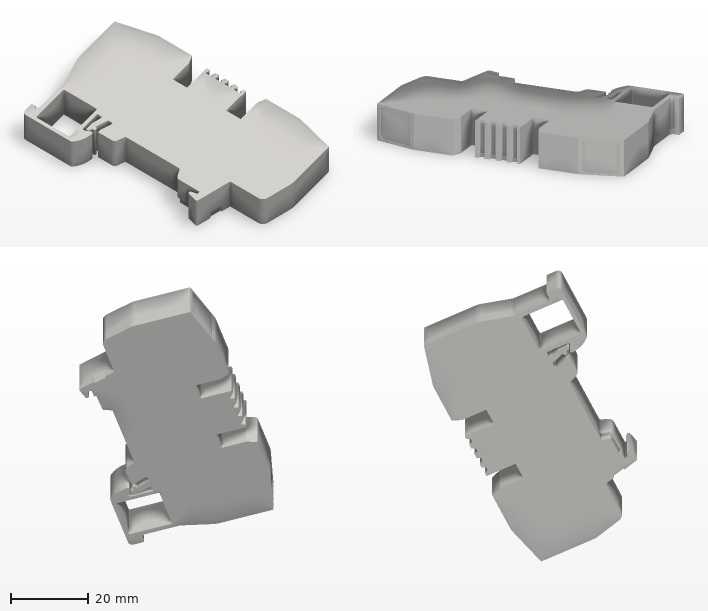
import cadquery as cq
import math

half_length = 35.0
height = 42.3
thickness = 10.0

shoulder_y = 39.3
top_outer_x = 23.25
top_inner_x = 12.05
well_x = 11.05
well_bevel_y = 39.7
well_floor_y = 32.8
side_bend_y = 23.6
side_bend_radius = 4.9

comb_half_width = 6.405
comb_top_y = 41.2
slot_count = 4
slot_pitch = 3.1
slot_mouth_width = 1.9
slot_throat_width = 1.2
slot_floor_y = 40.2
undercut_width = 2.0
undercut_depth = 0.5
undercut_web = 1.0

seat_y = 9.9
seat_half_width = 8.9
ramp_foot_x = 10.15
foot_y = 6.8
ramp_root_radius = 0.6
ramp_foot_radius = 1.3

leg_x = -32.6
leg_top_y = 14.6
clamp_top_y = 4.0
clamp_corner_radius = 1.05
clamp_tip_x = -16.45
window_left = -31.35
window_right = -20.45
window_bottom = 1.05
window_top = 12.9
window_radius = 0.35
leg_fillet_radius = 1.2
leg_fillet_height = 1.4
leg_fillet_overlap = 0.6

slit_top_y = 11.55
slit_left_x = -19.4
slit_floor_y = 5.0
slit_chamfer = 0.35
foot_left_x = -15.5
tongue_left_x = -18.55
tongue_root_x = -17.9
bump_x = -16.5

hook_wall_x = 17.65
hook_tip_x = 19.05
hook_bottom_y = 3.7
hook_tip_radius = 0.5
overhang_x = 21.85
overhang_y = 14.35
overhang_radius = 1.95

relief_height = 2.5
relief_depth = 0.7
relief_end_x = 15.6
relief_clearance = 0.35
notch_depth = 0.4
notch_start = 4.6
notch_length = 3.6

label_end_margin = 1.2
label_side_margin = 0.6
label_depth = 0.3
label_radius = 1.05

side_slope = (half_length + leg_x) / (side_bend_y - leg_top_y)
overhang_corner_x = half_length - side_slope * (side_bend_y - overhang_y)


def prism(points, depth):
    """Closed polygon in XY, extruded upward from Z = 0."""
    return cq.Workplane("XY").polyline(points).close().extrude(depth)


def round_corners(body, radius, points):
    """Round the upright edges standing at the given XY points."""
    for x, y in points:
        edge = cq.selectors.NearestToPointSelector((x, y, thickness / 2))
        body = body.edges("|Z").edges(edge).fillet(radius)
    return body


def housing():
    """Full-thickness outline: shoulders, comb block, hook, rail seat, tongue and leg."""
    upper_left = [
        (-half_length, side_bend_y),
        (-half_length, shoulder_y),
        (-top_outer_x, height),
        (-top_inner_x, height),
        (-well_x, well_bevel_y),
        (-well_x, well_floor_y),
        (-comb_half_width, well_floor_y),
        (-comb_half_width, comb_top_y),
    ]
    upper_right = [(-x, y) for x, y in reversed(upper_left)]
    right_hook = [
        (overhang_corner_x, overhang_y),
        (overhang_x, overhang_y),
        (hook_tip_x, hook_bottom_y),
        (15.7, 4.6),
        (15.6, 5.2),
        (15.9, 5.45),
        (hook_wall_x, 5.9),
        (hook_wall_x, foot_y),
    ]
    rail_seat = [
        (ramp_foot_x, foot_y),
        (seat_half_width, seat_y),
        (-seat_half_width, seat_y),
        (-ramp_foot_x, foot_y),
        (foot_left_x, foot_y),
    ]
    tongue = [
        (foot_left_x, 8.0),
        (-14.3, slit_top_y - slit_chamfer),
        (-14.5, slit_top_y),
        (-15.8, slit_top_y),
        (-17.15, 7.9),
        (bump_x, 7.55),
        (bump_x, foot_y),
        (-17.4, foot_y),
        (-17.65, 5.9),
        (-18.3, 5.6),
        (tongue_left_x, 5.95),
        (tongue_left_x, 8.6),
        (tongue_root_x, 10.5),
        (tongue_root_x, slit_top_y),
        (slit_left_x, slit_top_y),
        (slit_left_x, slit_floor_y + slit_chamfer),
        (slit_left_x + slit_chamfer, slit_floor_y),
    ]
    outline = upper_left + upper_right + right_hook + rail_seat + tongue
    left_leg = [
        (-half_length, 0),
        (-half_length, clamp_top_y),
        (-33.7, clamp_top_y),
        (-33.6, 3.5),
        (-33.2, 3.4),
        (leg_x, 4.2),
        (leg_x, leg_top_y),
    ]
    body = (
        cq.Workplane("XY")
        .polyline(outline)
        .lineTo(-16.95, 5.9)
        .threePointArc((-16.6, 5.8), (clamp_tip_x, 5.45))
        .lineTo(clamp_tip_x, 4.9)
        .threePointArc((-17.1, 2.65), (-18.4, 0.55))
        .threePointArc((-18.9, 0.15), (-19.6, 0))
        .polyline(left_leg, includeCurrent=True)
        .close()
        .extrude(thickness)
    )
    sides = (-1, 1)
    body = round_corners(body, side_bend_radius, [(s * half_length, side_bend_y) for s in sides])
    body = round_corners(body, ramp_root_radius, [(s * seat_half_width, seat_y) for s in sides])
    body = round_corners(body, ramp_foot_radius, [(s * ramp_foot_x, foot_y) for s in sides])
    body = round_corners(body, clamp_corner_radius, [(-half_length, 0)])
    body = round_corners(body, hook_tip_radius, [(hook_tip_x, hook_bottom_y)])
    return round_corners(body, overhang_radius, [(overhang_corner_x, overhang_y)])


def window():
    width = window_right - window_left
    depth = window_top - window_bottom
    center = ((window_left + window_right) / 2, (window_bottom + window_top) / 2)
    opening = cq.Workplane("XY").center(*center).rect(width, depth).extrude(thickness)
    return opening.edges("|Z").fillet(window_radius)


def comb_slot(x):
    """Tapered slot through the comb, with a wider undercut that stops on a web."""
    mouth = slot_mouth_width / 2
    throat = slot_throat_width / 2
    taper = [
        (x - mouth, comb_top_y),
        (x - throat, slot_floor_y),
        (x + throat, slot_floor_y),
        (x + mouth, comb_top_y),
    ]
    undercut = (
        cq.Workplane("XY", origin=(x, slot_floor_y - undercut_depth / 2, undercut_web))
        .rect(undercut_width, undercut_depth)
        .extrude(thickness - undercut_web)
    )
    return prism(taper, thickness).union(undercut)


def foot_relief():
    """Step that sets the lower part of the right ramp and foot back by an even depth."""
    run = ramp_foot_x - seat_half_width
    rise = seat_y - foot_y
    shift = relief_depth * math.hypot(run, rise) / rise
    ceiling_y = foot_y + relief_depth
    corner = (ramp_foot_x + shift - relief_depth * run / rise, ceiling_y)
    inner_x = seat_half_width - ramp_root_radius
    below_y = foot_y - relief_clearance
    relief = prism(
        [
            (inner_x, seat_y),
            (seat_half_width + shift, seat_y),
            corner,
            (relief_end_x, ceiling_y),
            (relief_end_x, below_y),
            (inner_x, below_y),
        ],
        relief_height,
    )
    return round_corners(relief, ramp_foot_radius - relief_depth, [corner])


def hook_notch():
    """Wedge notch low on the sloped back of the hook, deepest at the bottom face."""
    wall_angle = math.degrees(math.atan2(overhang_y - hook_bottom_y, overhang_x - hook_tip_x))
    wedge = (
        cq.Workplane("YZ", origin=(notch_start, 0, 0))
        .polyline([(0, 0), (notch_depth, 0), (0, relief_height)])
        .close()
        .extrude(notch_length)
    )
    return wedge.rotate((0, 0, 0), (0, 0, 1), wall_angle).translate((hook_tip_x, hook_bottom_y, 0))


def leg_fillet():
    """Rounded web in the corner of the left leg and clamp foot, at the bottom only."""
    return (
        cq.Workplane("XY")
        .moveTo(leg_x - leg_fillet_radius, clamp_top_y)
        .radiusArc((leg_x, clamp_top_y + leg_fillet_radius), -leg_fillet_radius)
        .lineTo(leg_x, clamp_top_y - leg_fillet_overlap)
        .lineTo(leg_x - leg_fillet_radius, clamp_top_y - leg_fillet_overlap)
        .close()
        .extrude(leg_fillet_height)
    )


def label_pocket():
    """Rounded shallow pocket in the left sloped shoulder."""
    run = half_length - top_outer_x
    rise = height - shoulder_y
    plane = cq.Plane(
        origin=(-(half_length + top_outer_x) / 2, (height + shoulder_y) / 2, thickness / 2),
        xDir=(run, rise, 0),
        normal=(-rise, run, 0),
    )
    length = math.hypot(run, rise) - 2 * label_end_margin
    width = thickness - 2 * label_side_margin
    outline = cq.Sketch().rect(length, width).vertices().fillet(label_radius)
    return cq.Workplane(plane).placeSketch(outline).extrude(-label_depth)


result = housing().cut(window()).union(leg_fillet())

for index in range(slot_count):
    result = result.cut(comb_slot((index - (slot_count - 1) / 2) * slot_pitch))

result = result.cut(foot_relief()).cut(hook_notch())
result = result.cut(label_pocket()).cut(label_pocket().mirror("YZ"))